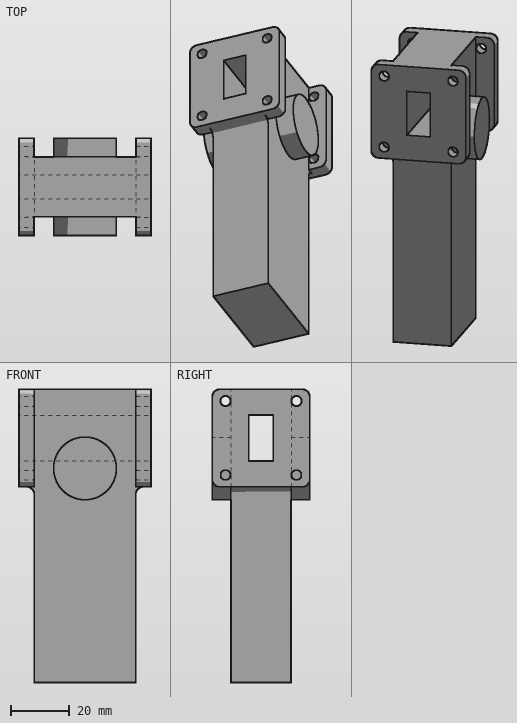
import cadquery as cq

total_height = 100.0
total_width = 45.0
flange_thickness = 5.2
body_width = total_width - 2 * flange_thickness
body_depth = 20.5

flange_size = 33.3
flange_corner_radius = 2.6
root_fillet_radius = 2.6
flange_center_z = -flange_size / 2

window_depth = 8.2
window_height = 15.6
bolt_hole_diameter = 3.4
bolt_spacing_y = 24.2
bolt_spacing_z = 25.2

boss_diameter = 21.4
boss_center_z = -27.0


def make_body():
    """Plain block running the full height."""
    return cq.Workplane("XY").box(body_width, body_depth, total_height).translate(
        (0, 0, -total_height / 2)
    )


def make_flange(side):
    """Rounded plate with four bolt holes on the given X side (-1 or 1)."""
    plate_center = (side * (total_width - flange_thickness) / 2, 0, flange_center_z)
    return (
        cq.Workplane("XY")
        .box(flange_thickness, flange_size, flange_size)
        .edges("|X")
        .fillet(flange_corner_radius)
        .faces(">X")
        .workplane()
        .rect(bolt_spacing_y, bolt_spacing_z, forConstruction=True)
        .vertices()
        .hole(bolt_hole_diameter)
        .translate(plate_center)
    )


def make_root_fillet(side):
    """Concave blend between the flange underside and the body side."""
    side_x = side * body_width / 2
    outer_x = side_x + side * root_fillet_radius
    lower_z = -flange_size - root_fillet_radius
    arc_offset = root_fillet_radius * (1 - 0.5**0.5)
    arc_middle = (side_x + side * arc_offset, -flange_size - arc_offset)
    return (
        cq.Workplane("XZ")
        .moveTo(side_x, -flange_size)
        .lineTo(outer_x, -flange_size)
        .threePointArc(arc_middle, (side_x, lower_z))
        .close()
        .extrude(body_depth / 2, both=True)
    )


def make_boss():
    """Cylinder crossing the body and standing out front and back."""
    return cq.Workplane("XZ").center(0, boss_center_z).circle(boss_diameter / 2).extrude(flange_size / 2, both=True)


def make_window():
    """Rectangular passage along X."""
    return cq.Workplane("XY").box(total_width, window_depth, window_height).translate((0, 0, flange_center_z))


result = make_body().union(make_boss())
for side in (-1, 1):
    result = result.union(make_flange(side)).union(make_root_fillet(side))
result = result.cut(make_window())